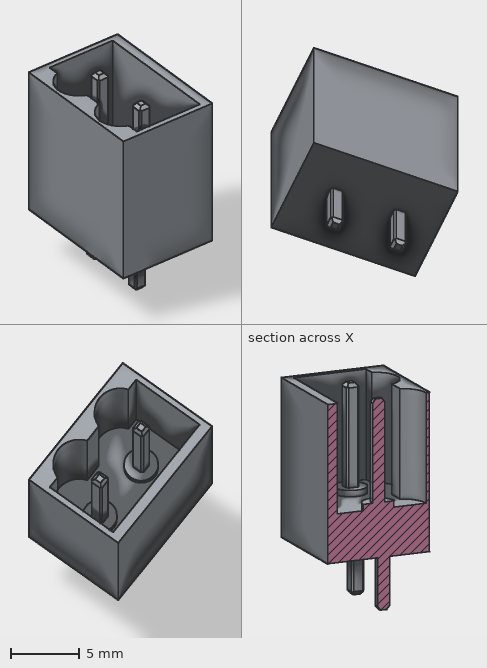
import cadquery as cq

length = 11.4
width = 8.2
total_height = 16.1
pin_tail = 4.0
housing_height = total_height - pin_tail

cavity_depth = 8.37
side_wall = 0.45
back_wall = 0.8
front_wall = 1.58
cavity_floor = housing_height - cavity_depth
bulge_radius = 1.9
bulge_center_y = -1.9

pin_pitch = 5.0
pin_size = 1.0
pin_corner = 0.15
tip_size = 0.5
tip_height = 0.3
tail_offset_y = -0.4
collar_radius = 1.25
collar_height = 0.48

pin_positions = [-pin_pitch / 2, pin_pitch / 2]


def make_housing():
    """Box with a cavity that has round key recesses in its front wall."""
    body = cq.Workplane("XY").box(length, width, housing_height, centered=(True, True, False))
    cavity_center_y = (front_wall - back_wall) / 2
    cavity = (
        cq.Workplane("XY", origin=(0, cavity_center_y, cavity_floor))
        .rect(length - 2 * side_wall, width - front_wall - back_wall)
        .extrude(cavity_depth)
    )
    bulges = (
        cq.Workplane("XY", origin=(0, bulge_center_y, cavity_floor))
        .pushPoints([(x, 0) for x in pin_positions])
        .circle(bulge_radius)
        .extrude(cavity_depth)
    )
    return body.cut(cavity).cut(bulges)


def make_collar(x):
    """Round collar on the cavity floor around a contact blade."""
    return (
        cq.Workplane("XY", origin=(x, 0, cavity_floor))
        .circle(collar_radius)
        .extrude(collar_height)
    )


def make_bar(x, y, root_z, tip_z):
    """Square bar with chamfered long edges, tapered to a small flat at tip_z."""
    direction = 1 if tip_z > root_z else -1
    shoulder_z = tip_z - direction * tip_height
    bar = (
        cq.Workplane("XY", origin=(x, y, root_z))
        .rect(pin_size, pin_size)
        .extrude(tip_z - root_z)
        .edges("|Z")
        .chamfer(pin_corner)
    )
    shaft = (
        cq.Workplane("XY", origin=(x, y, root_z))
        .rect(pin_size, pin_size)
        .extrude(shoulder_z - root_z)
    )
    tip = (
        cq.Workplane("XY", origin=(x, y, shoulder_z))
        .rect(pin_size, pin_size)
        .workplane(offset=direction * tip_height)
        .rect(tip_size, tip_size)
        .loft()
    )
    return bar.intersect(shaft.union(tip))


result = make_housing()
for pin_x in pin_positions:
    blade = make_bar(pin_x, 0, cavity_floor, housing_height)
    tail = make_bar(pin_x, tail_offset_y, cavity_floor, -pin_tail)
    result = result.union(make_collar(pin_x)).union(blade).union(tail)